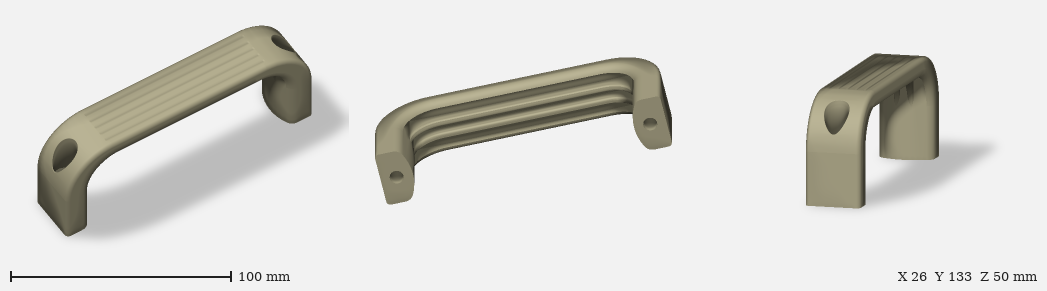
import cadquery as cq
import math

length = 133.0
width = 26.0
height = 50.0

outer_bend_radius = 25.0
outer_edge_radius = 2.0

leg_thickness = 15.0
bar_thickness = 11.6
inner_bend_radius = 13.5
crown_radius = 23.3
crown_edge_radius = 4.5
section_depth = 18.6

hole_diameter = 6.4
counterbore_diameter = 11.5
counterbore_rim_radius = 0.2
hole_end_distance = 7.5
counterbore_floor = height - outer_bend_radius

groove_count = 5
groove_pitch = 4.3
groove_width = 2.0
groove_depth = 0.3
groove_overrun = 1.7

hollow_width = 20.2
hollow_roof = 5.3
rib_width = 2.9
rib_spacing = 6.4
rib_edge_radius = 1.0

half_length = length / 2
half_width = width / 2
leg_inside = half_length - leg_thickness
bar_underside = height - bar_thickness
bend_start = bar_underside - inner_bend_radius


def crown_sag(x):
    """How far the crowned face lies outward of its middle, at a given x."""
    return crown_radius - math.sqrt(crown_radius**2 - x**2)


def along_handle(section):
    """Solid with one section along both legs, the bends and the bar.

    The section function draws on a workplane whose y axis points outward from the inner face.
    """
    leg = section(cq.Workplane("XY", origin=(0, leg_inside, 0))).extrude(bend_start)
    bend = section(cq.Workplane("XY", origin=(0, leg_inside, bend_start))).revolve(
        90, (0, -inner_bend_radius), (1, -inner_bend_radius)
    )
    bar = section(cq.Workplane("XZ", origin=(0, 0, bar_underside))).extrude(
        leg_inside - inner_bend_radius, both=True
    )
    end = leg.union(bend)
    return bar.union(end).union(end.rotate((0, 0, 0), (0, 0, 1), 180))


def outer_block():
    """Full-width block with round upper bends and rounded outer edges."""
    block = cq.Workplane("XY").box(width, length, height, centered=(True, True, False))
    block = block.edges("|X and >Z").fillet(outer_bend_radius)
    outer_edges = block.faces("<X or >X").edges("not <Z")
    return outer_edges.fillet(outer_edge_radius)


def crowned_section(workplane):
    """D shape with the crown inward; its edge rounding is tangent to the flat side and the crown."""
    round_x = half_width - crown_edge_radius
    crown_angle = math.asin(round_x / (crown_radius - crown_edge_radius))
    round_y = crown_radius - (crown_radius - crown_edge_radius) * math.cos(crown_angle)
    mid_angle = (math.pi / 2 + crown_angle) / 2
    mid_x = round_x + crown_edge_radius * math.sin(mid_angle)
    mid_y = round_y - crown_edge_radius * math.cos(mid_angle)
    crown_end_x = crown_radius * math.sin(crown_angle)
    crown_end_y = crown_sag(crown_end_x)
    return (
        workplane.moveTo(-half_width, section_depth)
        .lineTo(half_width, section_depth)
        .lineTo(half_width, round_y)
        .threePointArc((mid_x, mid_y), (crown_end_x, crown_end_y))
        .threePointArc((0, 0), (-crown_end_x, crown_end_y))
        .threePointArc((-mid_x, mid_y), (-half_width, round_y))
        .close()
    )


def rib_sections(workplane):
    """Two ribs with rounded edges, whose tips lie just inside the crowned face."""
    tip = crown_sag(rib_spacing / 2)
    shoulder = tip + rib_edge_radius
    half_rib = rib_width / 2
    half_tip = half_rib - rib_edge_radius
    for x in (-rib_spacing / 2, rib_spacing / 2):
        workplane = (
            workplane.moveTo(x - half_rib, section_depth)
            .lineTo(x - half_rib, shoulder)
            .radiusArc((x - half_tip, tip), -rib_edge_radius)
            .lineTo(x + half_tip, tip)
            .radiusArc((x + half_rib, shoulder), -rib_edge_radius)
            .lineTo(x + half_rib, section_depth)
            .close()
        )
    return workplane


def hollow():
    """Space between the upward-extended leg faces, less the ribs that divide it."""
    side_x = hollow_width / 2
    side_y = leg_inside + crown_sag(side_x)
    space = (
        cq.Workplane("XY", origin=(0, 0, bend_start))
        .moveTo(-side_x, -side_y)
        .threePointArc((0, -leg_inside), (side_x, -side_y))
        .lineTo(side_x, side_y)
        .threePointArc((0, leg_inside), (-side_x, side_y))
        .close()
        .extrude(height - hollow_roof - bend_start)
    )
    return space.cut(along_handle(rib_sections))


def top_groove(x):
    """V groove along the top of the bar, closed by half a cone at each end."""
    end_radius = groove_width / 2
    cone_y = half_length - outer_bend_radius + groove_overrun - end_radius
    groove = (
        cq.Workplane("XZ", origin=(x, 0, height))
        .moveTo(-end_radius, 0)
        .lineTo(0, -groove_depth)
        .lineTo(end_radius, 0)
        .close()
        .extrude(cone_y, both=True)
    )
    down = cq.Vector(0, 0, -1)
    for y in (-cone_y, cone_y):
        cone = cq.Solid.makeCone(end_radius, 0, groove_depth, cq.Vector(x, y, height), down)
        groove = groove.union(cq.Workplane(cone))
    return groove


def add_screw_holes(body):
    """Cut the counterbores, round their rims, then drill the holes down through the legs."""
    hole_y = half_length - hole_end_distance
    bore_radius = counterbore_diameter / 2
    for y in (-hole_y, hole_y):
        counterbore = (
            cq.Workplane("XY", origin=(0, y, counterbore_floor))
            .circle(bore_radius)
            .extrude(height - counterbore_floor)
        )
        body = body.cut(counterbore)
        rim_box = cq.selectors.BoxSelector(
            (-bore_radius, y - bore_radius, counterbore_floor + counterbore_rim_radius),
            (bore_radius, y + bore_radius, height),
        )
        body = body.edges(rim_box).edges("not |Z").fillet(counterbore_rim_radius)
    holes = (
        cq.Workplane("XY")
        .pushPoints([(0, -hole_y), (0, hole_y)])
        .circle(hole_diameter / 2)
        .extrude(counterbore_floor)
    )
    return body.cut(holes)


result = outer_block().intersect(along_handle(crowned_section)).cut(hollow())
result = add_screw_holes(result)
for i in range(groove_count):
    groove_x = (i - (groove_count - 1) / 2) * groove_pitch
    result = result.cut(top_groove(groove_x))